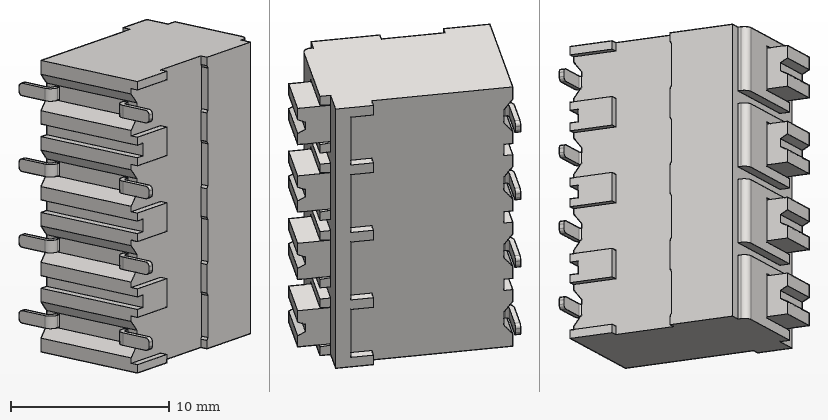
import cadquery as cq


poles = 4
pitch = 5.0
height = 19.2
first_pole = (height - (poles - 1) * pitch) / 2
pole_centers = [first_pole + i * pitch for i in range(poles)]
pole_boundaries = [z + pitch / 2 for z in pole_centers[:-1]]

core_left = -3.65
core_right = 3.65
front = 0.21
back = 11.73

wall_right = 4.15
front_strip_back = 3.2
rear_strip_front = 7.3
window_height = 3.11
rear_dent_depth = 0.1
rear_dent_bevel = 0.17

flange_left = -4.22
flange_front = 9.3
flange_pocket_back = 10.75
flange_leg = 0.71

channel_floor = 0.79
channel_mouth = 2.4
channel_base = 0.98
groove_height = 0.83

ridge_back = 12.42
ridge_left = -2.52
ridge_right = 3.38
ridge_radius = 0.48
lever_left = -2.45
lever_right = 0.61
lever_back = 13.85
lever_height = 2.69
notch_depth = 0.5
notch_mouth = 1.02
notch_base = 0.52
slot_base = 2.8
slot_mouth = 2.92
slot_clearance = 0.05

pin_span = 10.5
pin_thickness = 0.35
pin_height = 0.83
pin_tip_radius = 0.27
pin_bend_radius = 0.55
pin_bend_start = 3.15
pin_embed = 0.2
pin_root = channel_floor + pin_embed


def box(x0, x1, y0, y1, z0, z1):
    return cq.Workplane("XY").box(x1 - x0, y1 - y0, z1 - z0, centered=False).translate((x0, y0, z0))


def slab(x0, x1, y0, y1, z_center, z_size):
    return box(x0, x1, y0, y1, z_center - z_size / 2, z_center + z_size / 2)


def tapered_slab(x0, x1, y0, size0, y1, size1, z_center):
    """Trapezoid in YZ whose Z size goes from size0 at y0 to size1 at y1, extruded along X."""
    outline = [
        (y0, z_center - size0 / 2),
        (y1, z_center - size1 / 2),
        (y1, z_center + size1 / 2),
        (y0, z_center + size0 / 2),
    ]
    return cq.Workplane("YZ").workplane(offset=x0).polyline(outline).close().extrude(x1 - x0)


def make_housing():
    body = box(core_left, core_right, front, back, 0, height)
    body = body.union(box(core_right, wall_right, front, front_strip_back, 0, height))
    body = body.union(box(core_right, wall_right, rear_strip_front, back, 0, height))
    body = body.union(box(flange_left, core_left, flange_front, back, 0, height))
    ridge = box(ridge_left, ridge_right, back, ridge_back, 0, height)
    return body.union(ridge.edges(">X and >Y").fillet(ridge_radius))


def cut_flange_pockets(body):
    """Open the front of the left flange between legs at the ends and at the pole boundaries."""
    leg_centers = [flange_leg / 2, *pole_boundaries, height - flange_leg / 2]
    for below, above in zip(leg_centers[:-1], leg_centers[1:]):
        z0 = below + flange_leg / 2
        z1 = above - flange_leg / 2
        body = body.cut(box(flange_left, core_left, flange_front, flange_pocket_back, z0, z1))
    return body


def cut_boundary_grooves(body):
    for z in pole_boundaries:
        body = body.cut(slab(core_left, wall_right, front, channel_floor, z, groove_height))
        body = body.cut(slab(ridge_left, ridge_right, back, ridge_back, z, groove_height))
    return body


def cut_pole_front(body, z):
    channel = tapered_slab(core_left, wall_right, front, channel_mouth, channel_floor, channel_base, z)
    window = slab(core_right, wall_right, front, front_strip_back, z, window_height)
    dent = tapered_slab(
        core_right,
        wall_right,
        rear_strip_front,
        window_height,
        rear_strip_front + rear_dent_depth,
        window_height - 2 * rear_dent_bevel,
        z,
    )
    return body.cut(channel).cut(window).cut(dent)


def add_lever(body, z):
    slot_right = lever_right + slot_clearance
    body = body.cut(tapered_slab(ridge_left, slot_right, back, slot_base, ridge_back, slot_mouth, z))
    lever = slab(lever_left, lever_right, back, lever_back, z, lever_height)
    notch_floor = lever_back - notch_depth
    notch = tapered_slab(lever_left, lever_right, notch_floor, notch_base, lever_back, notch_mouth, z)
    return body.union(lever.cut(notch))


def make_right_pin(z):
    """L-shaped strip: flat outside the housing, bent into the channel floor."""
    tip = pin_span / 2
    inner_radius = pin_bend_radius - pin_thickness
    outer_x = pin_bend_start - pin_bend_radius
    pin = (
        cq.Workplane("XY")
        .workplane(offset=z - pin_height / 2)
        .moveTo(tip, 0)
        .lineTo(pin_bend_start, 0)
        .radiusArc((outer_x, pin_bend_radius), pin_bend_radius)
        .lineTo(outer_x, pin_root)
        .lineTo(outer_x + pin_thickness, pin_root)
        .lineTo(outer_x + pin_thickness, pin_bend_radius)
        .radiusArc((pin_bend_start, pin_thickness), -inner_radius)
        .lineTo(tip, pin_thickness)
        .close()
        .extrude(pin_height)
    )
    return pin.edges("|Y and >X").fillet(pin_tip_radius)


result = cut_boundary_grooves(cut_flange_pockets(make_housing()))
for pole_z in pole_centers:
    result = cut_pole_front(result, pole_z)
    result = add_lever(result, pole_z)
    right_pin = make_right_pin(pole_z)
    result = result.union(right_pin).union(right_pin.mirror("YZ"))